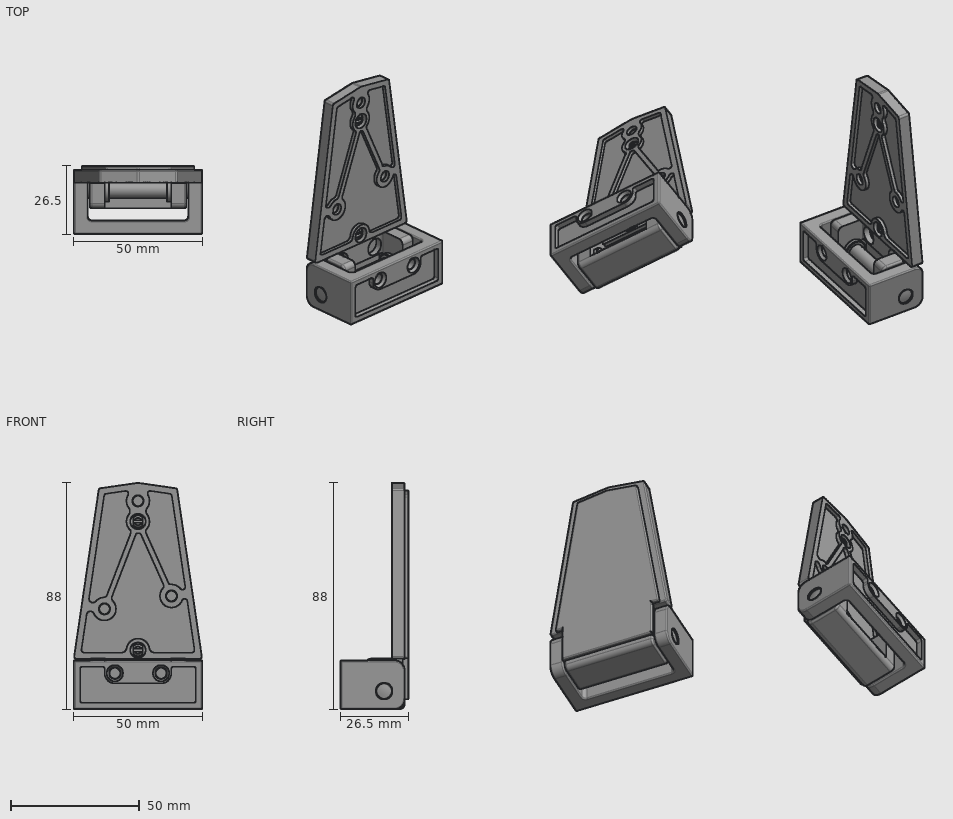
import cadquery as cq
import math

overall_height = 88.0
housing_width = 50.0
housing_depth = 25.0
housing_height = 19.0
housing_back_radius = 4.0
edge_radius = 0.5
cavity_half_width = 19.45
cavity_front_wall = 5.4
cavity_corner_radius = 1.5
housing_pocket_depth = 2.3
housing_cutter_radius = 1.0
rim_width = 2.5
mount_hole_x = 9.0
mount_hole_z = 14.0
mount_hole_radius = 2.1
countersink_radius = 3.2
countersink_end_radius = 2.3
countersink_depth = 1.4
island_radius = 4.0

axis_y = 17.0
axis_z = 7.0
rod_radius = 3.0
rod_end_dome = 0.35
rod_end_inset = 0.5
bore_chamfer = 0.3
collar_radius = 4.4
collar_inner_x = 11.1
collar_chamfer = 0.3

plate_gap = 0.5
plate_thickness = 5.0
plate_half_width = housing_width / 2
shoulder_x = 15.2
shoulder_drop = 2.2
apex_radius = 3.0
corner_radius = 1.0
plate_pocket_depth = 1.5
plate_cutter_radius = 1.1
link_cutter_radius = 1.5
neck_cutter_radius = 2.0
boss_radius = 4.5
rib_width = 2.0
plug_hole_radius = 2.2
plug_hole_depth = 1.5
plug_bore_radius = 2.0
top_hole = (0.0, 81.0)
left_hole = (-13.0, 39.0)
right_hole = (13.0, 44.0)
upper_post = (0.0, 72.95)
lower_post = (0.0, 23.0)
counterbore_radius = 3.0
counterbore_depth = 2.5

pad_thickness = 1.5
pad_inset = 2.9
pad_corner_radius = 0.5
flange_half_width = 19.1
flange_bottom = 3.8
flange_front_y = 24.2
ear_front_y = 10.0
ear_top = 19.7
ear_inner_x = 12.85
ear_outer_x = 18.8
ear_end_radius = 2.0
ear_side_radius = 0.8
floor_thickness = 2.0
wall_front_y = 21.6
undercut_top = 10.0
undercut_back_y = 23.0
inner_corner_radius = 0.5
blind_hole_radius = 3.5
blind_hole_depth = 2.6
post_neck_radius = 1.85
post_head_radius = 2.4
post_tip_radius = 1.4
post_slot_width = 1.1
post_tip_inset = 0.5
post_cone_length = 1.0

plate_bottom = housing_height + plate_gap
plate_front_y = housing_depth - plate_thickness
roof_angle = math.atan2(shoulder_drop, shoulder_x)
apex_z = overall_height + apex_radius * (1 / math.cos(roof_angle) - 1)
shoulder_z = apex_z - shoulder_drop
side_lean = (plate_half_width - shoulder_x) / (shoulder_z - plate_bottom)
side_angle = math.atan(side_lean)


def on_plane(y):
    """Workplane at depth y, local axes X and Z, extruding toward the front."""
    return cq.Workplane("XZ", origin=(0, y, 0))


def disc(center, radius, front_y, back_y):
    """Cylinder along Y between two depths."""
    return on_plane(back_y).center(*center).circle(radius).extrude(back_y - front_y)


def rod_along_x(radius, x_from, x_to):
    """Cylinder on the hinge axis."""
    start = cq.Workplane("YZ", origin=(x_from, axis_y, axis_z))
    return start.circle(radius).extrude(x_to - x_from)


def block(x_range, y_range, z_range):
    """Axis-aligned box between pairs of limits."""
    size = [high - low for low, high in (x_range, y_range, z_range)]
    corner = (x_range[0], y_range[0], z_range[0])
    return cq.Workplane("XY").box(*size, centered=False).translate(corner)


def milled(cutter_path, cutter_radius, front_y, depth):
    """Pocket cut by a round cutter whose centre sweeps the given flat-fronted region."""
    pocket = None
    for face in cutter_path.faces("<Y").vals():
        for wire in face.outerWire().offset2D(cutter_radius, "arc"):
            part = cq.Workplane(cq.Solid.extrudeLinear(wire, [], cq.Vector(0, depth, 0)))
            pocket = part if pocket is None else pocket.union(part)
    low = pocket.val().BoundingBox().ymin
    return pocket.translate((0, front_y - low, 0))


def side_x(z, inset):
    return plate_half_width - (z - plate_bottom) * side_lean - inset / math.cos(side_angle)


def roof_peak(inset):
    return apex_z - inset / math.cos(roof_angle)


def tapered_outline(inset, bottom):
    """Right-hand corners of the inset panel outline: bottom, shoulder and apex."""
    pitch = math.tan(roof_angle)
    height = (roof_peak(inset) - pitch * side_x(0, inset)) / (1 - pitch * side_lean)
    return [(side_x(bottom, inset), bottom), (side_x(height, inset), height), (0, roof_peak(inset))]


def mirrored(right_side):
    """Closed outline from right-hand corners that end on the centre line."""
    return right_side + [(-x, z) for x, z in reversed(right_side[:-1])]


def housing_front_pocket():
    reach = housing_cutter_radius
    edge = rim_width + reach
    island = island_radius + reach
    half = housing_width / 2 - edge
    slab = (-0.9, 0)
    path = block((-half, half), slab, (edge, housing_height - edge))
    for x in (-mount_hole_x, mount_hole_x):
        path = path.cut(disc((x, mount_hole_z), island, *slab))
    path = path.cut(block((-mount_hole_x, mount_hole_x), slab, (mount_hole_z - island, housing_height)))
    wide = mount_hole_x + island
    path = path.cut(block((-wide, wide), slab, (mount_hole_z, housing_height)))
    return milled(path, reach, 0, housing_pocket_depth)


def make_housing():
    half = housing_width / 2
    body = block((-half, half), (0, housing_depth), (0, housing_height))
    body = body.edges("|X and >Y").fillet(housing_back_radius)
    body = body.edges().fillet(edge_radius)
    cavity = block(
        (-cavity_half_width, cavity_half_width),
        (cavity_front_wall, 2 * housing_depth),
        (0, housing_height),
    )
    cavity = cavity.edges("|Z and <Y").fillet(cavity_corner_radius)
    body = body.cut(cavity)
    rims = [
        edge for edge in body.faces("<Z or >Z").edges().vals()
        if abs(edge.Center().x) < cavity_half_width + edge_radius / 2
        and edge.Center().y > cavity_front_wall / 2
        and edge.Center().y < housing_depth - edge_radius
    ]
    body = body.newObject(rims).fillet(edge_radius)
    body = body.cut(housing_front_pocket())
    for x in (-mount_hole_x, mount_hole_x):
        body = body.cut(disc((x, mount_hole_z), mount_hole_radius, 0, cavity_front_wall))
        sink = cq.Solid.makeCone(
            countersink_radius, countersink_end_radius, countersink_depth,
            cq.Vector(x, 0, mount_hole_z), cq.Vector(0, 1, 0),
        )
        body = body.cut(cq.Workplane(sink))
    body = body.cut(rod_along_x(rod_radius, -half, half))
    for side in (-1, 1):
        sink = cq.Solid.makeCone(
            rod_radius + bore_chamfer, rod_radius, bore_chamfer,
            cq.Vector(side * half, axis_y, axis_z), cq.Vector(-side, 0, 0),
        )
        body = body.cut(cq.Workplane(sink))
    return body


def rounded_panel(right_side, back_y, thickness):
    """Tapered panel with its ridge rounded."""
    panel = on_plane(back_y).polyline(mirrored(right_side)).close().extrude(thickness)
    return panel.edges("|Y and >Z").fillet(apex_radius)


def round_side_corners(panel, shoulder_radius, foot_radius):
    """Round the two foot corners and the two shoulder corners of a panel."""
    panel = panel.edges("|Y and <Z").fillet(foot_radius)
    shoulders = [
        edge for edge in panel.edges("|Y").vals()
        if edge.Center().z > plate_bottom + overall_height / 2 and abs(edge.Center().x) > shoulder_x / 2
    ]
    return panel.newObject(shoulders).fillet(shoulder_radius)


def rib_region(start, end, width, front_y, back_y):
    """Straight bar between two points of the plate."""
    run = math.dist(start, end)
    angle = math.degrees(math.atan2(end[1] - start[1], end[0] - start[0]))
    middle = ((start[0] + end[0]) / 2, (start[1] + end[1]) / 2)
    bar = on_plane(back_y).center(*middle).transformed(rotate=(0, 0, angle))
    return bar.rect(run, width).extrude(back_y - front_y)


def plate_cutter_pockets(reach):
    """All plate pockets as left by one cutter radius."""
    edge = rim_width + reach
    slab = (-0.9, 0)
    outline = mirrored(tapered_outline(edge, plate_bottom + edge))
    path = on_plane(0).polyline(outline).close().extrude(0.9)
    for center in (top_hole, upper_post, lower_post, left_hole, right_hole):
        path = path.cut(disc(center, boss_radius + reach, *slab))
    for foot in (left_hole, right_hole):
        path = path.cut(rib_region(upper_post, foot, rib_width + 2 * reach, *slab))
    return milled(path, reach, plate_front_y, plate_pocket_depth)


def plate_pockets():
    pockets = plate_cutter_pockets(plate_cutter_radius)
    neck = (0, (top_hole[1] + upper_post[1]) / 2)
    zones = [
        (left_hole, 2 * boss_radius, link_cutter_radius),
        (lower_post, 2 * boss_radius, neck_cutter_radius),
        (neck, boss_radius, neck_cutter_radius),
    ]
    for center, zone_radius, cutter_radius in zones:
        zone = disc(center, zone_radius, plate_front_y, housing_depth)
        rounded = plate_cutter_pockets(cutter_radius).intersect(zone)
        pockets = pockets.cut(zone).union(rounded)
    return pockets


def make_plate():
    panel = rounded_panel(tapered_outline(0, plate_bottom), housing_depth, plate_thickness)
    panel = round_side_corners(panel, corner_radius, corner_radius)
    panel = panel.faces(">Y").edges().fillet(edge_radius)
    panel = panel.cut(plate_pockets())
    for center in (top_hole, left_hole, right_hole):
        panel = panel.cut(disc(center, plug_hole_radius, plate_front_y, plate_front_y + plug_hole_depth))
        panel = panel.cut(disc(center, plug_bore_radius, plate_front_y, housing_depth))
    for center in (upper_post, lower_post):
        panel = panel.cut(disc(center, post_neck_radius, plate_front_y, housing_depth))
        panel = panel.cut(disc(center, counterbore_radius, plate_front_y, plate_front_y + counterbore_depth))
    return panel


def make_pad():
    """Tapered pad behind the plate, with the flange that hangs behind the housing."""
    back_y = housing_depth + pad_thickness
    pad = rounded_panel(tapered_outline(pad_inset, ear_top), back_y, pad_thickness)
    pad = round_side_corners(pad, corner_radius, pad_corner_radius)
    flange = block(
        (-flange_half_width, flange_half_width),
        (housing_depth, back_y),
        (flange_bottom, ear_top),
    )
    return pad.union(flange).faces(">Y").edges().fillet(edge_radius)


def make_hinge_block():
    """Ears, floor and wall that sit in the housing cavity."""
    step = ear_top - plate_bottom
    profile = [
        (ear_front_y, 0), (housing_depth, 0), (housing_depth, plate_bottom),
        (plate_front_y, plate_bottom), (plate_front_y - step, ear_top), (ear_front_y, ear_top),
    ]
    start = cq.Workplane("YZ", origin=(-ear_outer_x, 0, 0))
    body = start.polyline(profile).close().extrude(2 * ear_outer_x)
    body = body.edges("|X and (<Y or <Z)").fillet(ear_end_radius)
    body = body.faces("<X or >X").edges().fillet(ear_side_radius)
    flange = block(
        (-flange_half_width, flange_half_width),
        (flange_front_y, housing_depth),
        (flange_bottom, plate_bottom),
    )
    body = body.union(flange)
    between_ears = (-ear_inner_x, ear_inner_x)
    opening = block(between_ears, (0, wall_front_y), (floor_thickness, housing_height * 2))
    undercut = block(between_ears, (0, undercut_back_y), (floor_thickness, undercut_top))
    opening = opening.edges("|Z and >Y").fillet(inner_corner_radius)
    body = body.cut(opening).cut(undercut)
    for x in (-mount_hole_x, mount_hole_x):
        hole = disc((x, mount_hole_z), blind_hole_radius, wall_front_y, wall_front_y + blind_hole_depth)
        body = body.cut(hole)
    return body.cut(rod_along_x(rod_radius, -ear_outer_x, ear_outer_x))


def snap_post(center):
    """Slotted post with a conical tip and two flats, on a round neck."""
    tip_y = plate_front_y + post_tip_inset
    floor_y = plate_front_y + counterbore_depth
    cone = cq.Solid.makeCone(
        post_tip_radius, post_head_radius, post_cone_length,
        cq.Vector(center[0], tip_y, center[1]), cq.Vector(0, 1, 0),
    )
    post = disc(center, post_head_radius, tip_y + post_cone_length, floor_y).union(cq.Workplane(cone))
    half_slot = post_slot_width / 2
    x, z = center
    flats = block(
        (x - post_neck_radius, x + post_neck_radius),
        (tip_y, floor_y),
        (z - post_head_radius, z + post_head_radius),
    )
    slot = block(
        (x - post_head_radius, x + post_head_radius),
        (tip_y, floor_y),
        (z - half_slot, z + half_slot),
    )
    post = post.intersect(flats).cut(slot)
    return post.union(disc(center, post_neck_radius, floor_y, housing_depth))


def make_leaf():
    leaf = make_pad().union(make_hinge_block())
    for center in (upper_post, lower_post):
        leaf = leaf.union(snap_post(center))
    return leaf


def make_rod():
    rim_x = housing_width / 2 - rod_end_inset
    tip_x = rim_x + rod_end_dome
    sphere = (rod_radius ** 2 + rod_end_dome ** 2) / (2 * rod_end_dome)
    mid_r = rod_radius / 2
    mid_x = tip_x - sphere + math.sqrt(sphere ** 2 - mid_r ** 2)
    outline = (
        cq.Workplane("XY").moveTo(-tip_x, 0)
        .threePointArc((-mid_x, mid_r), (-rim_x, rod_radius))
        .lineTo(rim_x, rod_radius)
        .threePointArc((mid_x, mid_r), (tip_x, 0))
        .close()
    )
    return outline.revolve(360, (0, 0, 0), (1, 0, 0)).translate((0, axis_y, axis_z))


def make_collar(side):
    ring = rod_along_x(collar_radius, collar_inner_x, ear_inner_x)
    ring = ring.faces("<X").edges().chamfer(collar_chamfer)
    ring = ring.cut(rod_along_x(rod_radius, collar_inner_x, ear_inner_x))
    return ring if side > 0 else ring.mirror("YZ")


housing = make_housing()
plate = make_plate()
leaf = make_leaf()
rod = make_rod()
collars = [make_collar(side) for side in (-1, 1)]

result = cq.Compound.makeCompound(
    [housing.val(), plate.val(), leaf.val(), rod.val(), *[collar.val() for collar in collars]]
)